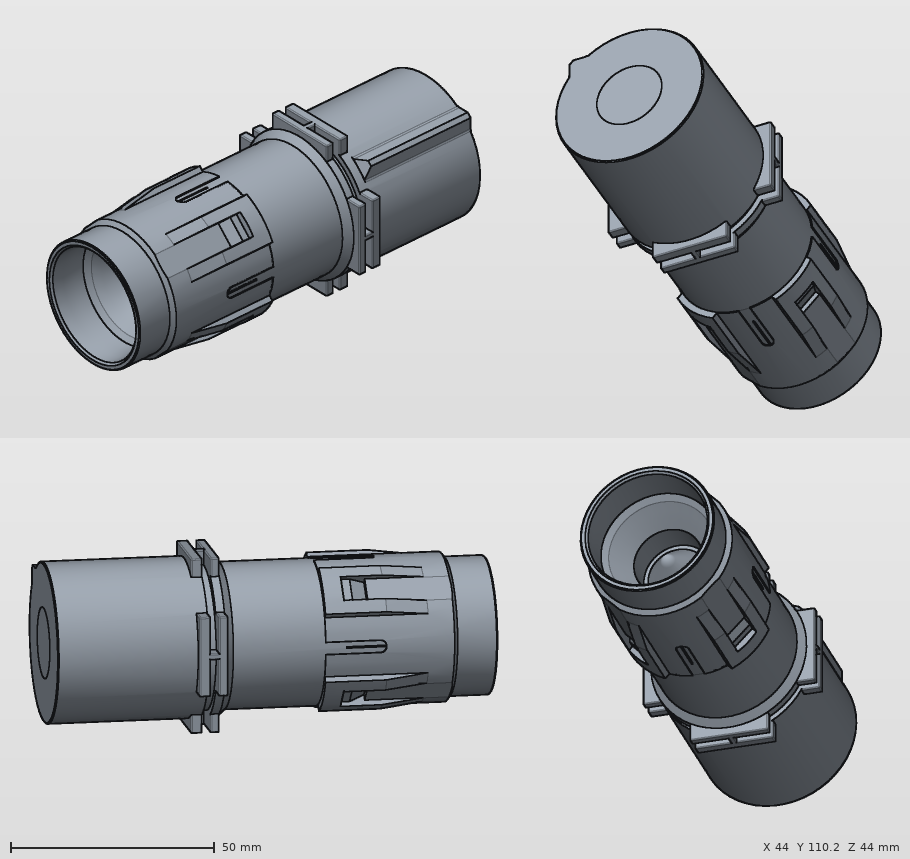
import cadquery as cq
import math

overall_length = 110.2

nose_radius = 17.2
sleeve_radius = 18.5
tube_radius = 18.2
rear_radius = 20.0
nose_length = 10.0
sleeve_chamfer_length = 1.0
sleeve_end = 43.1
flange_front = 68.2
shoulder_start = flange_front - 2.1
edge_chamfer = 0.3

rim_radius = 15.9
mouth_radius = 15.3
rim_chamfer_depth = 0.6
mouth_end_radius = 15.0
mouth_end = 10.3
funnel_radius = 13.5
funnel_start = 11.6
funnel_end = 17.6

core_radius = 8.8
tip_radius = 7.7
tip_length = 11.5
core_face = 26.0

flange_reach = 22.0
plate_width = 20.0
front_plate_thickness = 2.2
groove_width = 2.1
rear_plate_thickness = 2.7
tab_edge_radius = 0.3
flange_rear = flange_front + front_plate_thickness + groove_width + rear_plate_thickness
groove_start = flange_front + front_plate_thickness
groove_radius = 18.2
web_width = 1.6

claw_radius = 20.0
claw_width = 13.4
claw_ramp_start = 17.4
claw_ramp_end = 27.9
window_width = 6.8
window_floor = tube_radius
window_front = 32.0
window_end = 38.3
window_end_lean = 0.4
latch_low = 16.6
latch_high = 18.4
latch_ramp_end = 35.8

slot_width = 3.1
slot_front = 27.9
slit_width = 0.3
slit_depth = 0.3
slit_front = 28.1
slit_end = 37.8

key_corner = 16.2
key_corner_chamfer = 1.1
key_blend_radius = 1.0

seam_angle = 15


def revolve_about_y(points):
    """Revolve a closed (radius, Y) outline about the Y axis, its seam clear of slots and claws."""
    turned = cq.Workplane("XY").polyline(points).close().revolve(360, (0, 0, 0), (0, 1, 0))
    return turned.rotate((0, 0, 0), (0, 1, 0), seam_angle)


def block(width, y_start, y_end, z_low, z_high):
    """Box centred on X = 0 between the given Y and Z limits."""
    size = (width, y_end - y_start, z_high - z_low)
    return cq.Workplane("XY").box(*size, centered=(True, False, False)).translate((0, y_start, z_low))


def side_profile(points, width):
    """Extrude a closed (Y, Z) outline across X, centred on X = 0."""
    return cq.Workplane("YZ").polyline(points).close().extrude(width / 2, both=True)


def around(shape, first_angle):
    """Four copies of a shape a quarter turn apart about the Y axis."""
    return [shape.rotate((0, 0, 0), (0, 1, 0), first_angle + 90 * i) for i in range(4)]


def make_shell():
    """Stepped outer body, and the cutter for the annular flange groove."""
    shell = revolve_about_y([
        (0, 0),
        (nose_radius - edge_chamfer, 0),
        (nose_radius, edge_chamfer),
        (nose_radius, nose_length),
        (sleeve_radius, nose_length + sleeve_chamfer_length),
        (sleeve_radius, sleeve_end),
        (tube_radius, sleeve_end),
        (tube_radius, shoulder_start),
        (rear_radius, flange_front),
        (rear_radius, overall_length - edge_chamfer),
        (rear_radius - edge_chamfer, overall_length),
        (0, overall_length),
    ])
    groove = (
        cq.Workplane("XZ", origin=(0, groove_start, 0))
        .circle(flange_reach * 2).circle(groove_radius)
        .extrude(-groove_width)
    )
    return shell, groove


def make_flange_tab():
    """H-shaped tab on the top side: two plates joined by a web."""
    front_plate = block(plate_width, flange_front, groove_start, 0, flange_reach)
    rear_plate = block(plate_width, groove_start + groove_width, flange_rear, 0, flange_reach)
    web = block(web_width, flange_front, flange_rear, 0, flange_reach)
    tab = front_plate.union(rear_plate).union(web)
    tab = tab.edges("|Z and (>X or <X)").fillet(tab_edge_radius)
    return tab.faces(">Z").edges().fillet(tab_edge_radius)


def make_claw_pad():
    """Raised pad on the top side, ramping down to the sleeve at its front."""
    pad = revolve_about_y([
        (0, claw_ramp_start),
        (sleeve_radius, claw_ramp_start),
        (claw_radius, claw_ramp_end),
        (claw_radius, sleeve_end),
        (0, sleeve_end),
    ])
    return pad.intersect(block(claw_width, 0, sleeve_end, 0, claw_radius))


def make_claw_window():
    """Cutter for the flat channel and the ramped latch pocket behind it."""
    return side_profile([
        (nose_length, window_floor),
        (window_front, window_floor),
        (window_front, latch_low),
        (latch_ramp_end, latch_high),
        (window_end - window_end_lean, latch_high),
        (window_end, claw_radius),
        (window_end, flange_reach),
        (nose_length, flange_reach),
    ], window_width)


def make_sleeve_slot():
    """Cutter for a round-ended slot in the sleeve, down to the tube radius."""
    half_width = slot_width / 2
    slot = (
        cq.Workplane("XY")
        .moveTo(half_width, sleeve_end)
        .lineTo(half_width, slot_front + half_width)
        .threePointArc((0, slot_front), (-half_width, slot_front + half_width))
        .lineTo(-half_width, sleeve_end)
        .close()
        .extrude(flange_reach)
    )
    tube = revolve_about_y([(0, 0), (tube_radius, 0), (tube_radius, sleeve_end), (0, sleeve_end)])
    return slot.cut(tube)


def make_slit():
    """Cutter for the narrow slit in the floor of a sleeve slot."""
    return block(slit_width, slit_front, slit_end, tube_radius - slit_depth, sleeve_radius)


def make_key():
    """Ridge at 45 degrees, blended into the rear cylinder and bevelled at its front."""
    blend_centre_side = key_corner + key_blend_radius
    blend_centre_along = math.sqrt((rear_radius + key_blend_radius) ** 2 - blend_centre_side ** 2)
    shrink = rear_radius / (rear_radius + key_blend_radius)
    root = (blend_centre_along * shrink, blend_centre_side * shrink)
    middle_angle = (math.atan2(-blend_centre_side, -blend_centre_along) - math.pi / 2) / 2
    middle = (
        blend_centre_along + key_blend_radius * math.cos(middle_angle),
        blend_centre_side + key_blend_radius * math.sin(middle_angle),
    )
    flat_start = (blend_centre_along, key_corner)
    flat_end = (key_corner - key_corner_chamfer, key_corner)
    key = (
        cq.Workplane("XZ", origin=(0, flange_rear, 0))
        .lineTo(*root)
        .threePointArc(middle, flat_start)
        .lineTo(*flat_end)
        .lineTo(*flat_end[::-1])
        .lineTo(*flat_start[::-1])
        .threePointArc(middle[::-1], root[::-1])
        .close()
        .extrude(flange_rear - overall_length)
    )
    key_height = key_corner * math.sqrt(2)
    bevel_run = key_height - rear_radius
    bevel = side_profile([
        (flange_rear, rear_radius),
        (flange_rear + bevel_run, key_height),
        (flange_rear, key_height),
    ], key_corner)
    return key.cut(bevel.rotate((0, 0, 0), (0, 1, 0), 45))


def make_socket():
    """Cutter for the nose socket and the core bore."""
    return revolve_about_y([
        (0, 0),
        (rim_radius, 0),
        (mouth_radius, rim_chamfer_depth),
        (mouth_end_radius, mouth_end),
        (funnel_radius, funnel_start),
        (core_radius, funnel_end),
        (core_radius, overall_length),
        (0, overall_length),
    ])


def make_housing():
    """Outer body with its flange, key, claws, slots and nose socket."""
    housing, groove = make_shell()
    housing = housing.union(make_key())
    housing = housing.cut(groove)
    for tab in around(make_flange_tab(), 0):
        housing = housing.union(tab)
    for pad in around(make_claw_pad(), 45):
        housing = housing.union(pad)
    for window in around(make_claw_window(), 45):
        housing = housing.cut(window)
    for slot in around(make_sleeve_slot(), 0):
        housing = housing.cut(slot)
    for slit in around(make_slit(), 0):
        housing = housing.cut(slit)
    return housing.cut(make_socket())


def make_core():
    """Rod filling the bore, with a flat shoulder around its conical tip."""
    return revolve_about_y([
        (0, core_face - tip_length),
        (tip_radius, core_face),
        (core_radius, core_face),
        (core_radius, overall_length),
        (0, overall_length),
    ])


housing = make_housing()
core = make_core()

result = cq.Compound.makeCompound([housing.val(), core.val()])